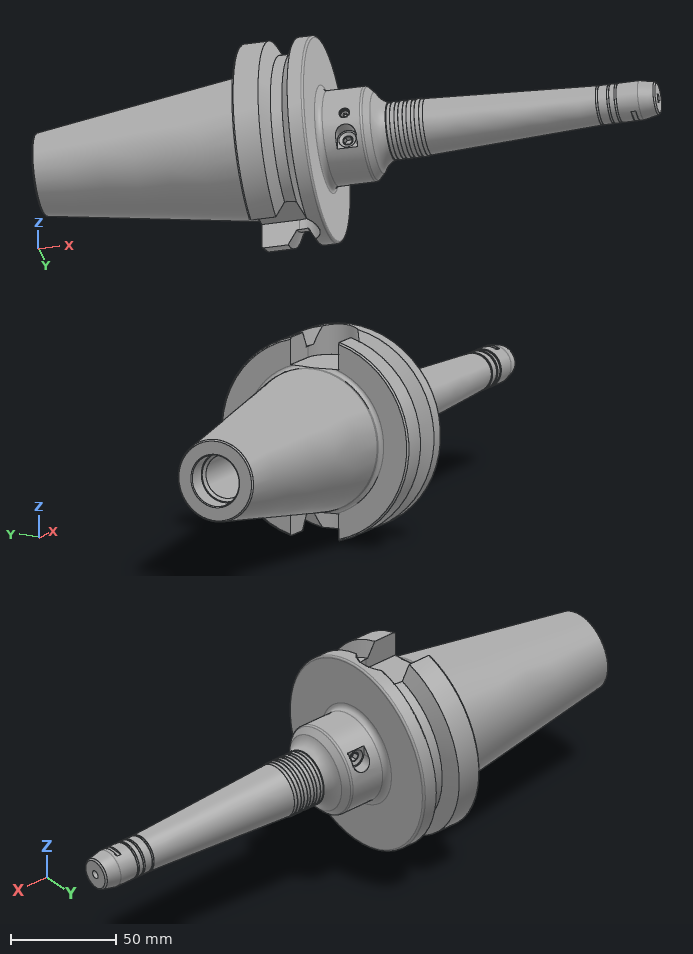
import cadquery as cq
import math


taper_length = 101.8
gauge_radius = 69.85 / 2
taper_ratio = 7 / 24
tail_radius = gauge_radius - taper_length * taper_ratio / 2
tail_chamfer = 0.7

flange_start = 3.0
flange_end = 38.0
flange_radius = 50.0
flange_chamfer = 0.8
flange_edge_fillet = 1.0
groove_floor_radius = 42.5
groove_floor_start = 20.3
groove_floor_end = 25.9
groove_half_angle = 30
root_fillet = 2.0

keyway_width = 25.7
keyway_floor = 35.1
keyway_end = 34.3
keyway_overshoot = 1.0

hub_radius = 23.0
hub_end = 60.0
hub_fillet = 3.0
shoulder_end = 63.5
shoulder_angle = 45
shoulder_radius = hub_radius - (shoulder_end - hub_end) * math.tan(math.radians(shoulder_angle))
blend_sag = 0.85
hub_edge_fillet = 1.6

neck_start = 69.7
neck_radius = 14.0
band_end = 87.8
neck_taper_radius = 13.6
nose_start = 171.5
nose_radius = 9.5
nose_taper_start = 192.0
part_end = 200.0
tip_radius = 8.0
tip_chamfer = 0.8

neck_ring_width = 1.8
neck_ring_depth = 0.35
neck_ring_count = 5
neck_ring_pitch = 4.0
first_neck_ring = 70.9
nose_ring_width = 1.0
nose_ring_depth = 0.25
nose_rings = (171.9, 177.4, 181.0)

bore_radius = 12.5
bore_chamfer = 0.5
bore_depth = 10.0
thread_radius = 12.0
thread_core_radius = 21.3 / 2
thread_depth = 60.0
drill_half_angle = 59
coolant_radius = 2.0

screw_station = 51.8
clamp_drop = 11.8
clamp_diameter = 10.0
clamp_floor = 16.0
clamp_seat_diameter = 8.4
clamp_seat_depth = 1.0
clamp_mouth_diameter = 5.0
clamp_hex = 4.62
clamp_hex_depth = 3.0
bleed_drop = 1.0
bleed_diameter = 5.0
bleed_depth = 1.0
bleed_seat_diameter = 4.1
bleed_seat_depth = 1.0
bleed_hex = 2.31
bleed_hex_depth = 1.5

notch_station = 188.8
notch_length = 2.3
notch_chord = 8.6

QUARTER_ARC_GAP = 1 - math.sqrt(0.5)


def make_body():
    """Solid of revolution from the tail of the taper to the tip of the nose."""
    wall = (flange_radius - groove_floor_radius) * math.tan(math.radians(groove_half_angle))
    flange_edge_mid = flange_edge_fillet * QUARTER_ARC_GAP
    root_mid = root_fillet * QUARTER_ARC_GAP
    hub_fillet_mid = hub_fillet * QUARTER_ARC_GAP

    half_turn = math.radians(shoulder_angle / 2)
    edge_tangent = hub_edge_fillet * math.tan(half_turn)
    edge_start = hub_end - edge_tangent
    edge_mid = (
        edge_start + hub_edge_fillet * math.sin(half_turn),
        hub_radius - hub_edge_fillet * (1 - math.cos(half_turn)),
    )
    edge_run = edge_tangent * math.cos(math.radians(shoulder_angle))
    edge_drop = edge_tangent * math.sin(math.radians(shoulder_angle))

    blend_mid = (
        (shoulder_end + neck_start) / 2 - blend_sag * math.sin(math.radians(shoulder_angle)),
        (shoulder_radius + neck_radius) / 2 - blend_sag * math.cos(math.radians(shoulder_angle)),
    )

    profile = (
        cq.Workplane("XY")
        .moveTo(-taper_length, 0)
        .lineTo(-taper_length, tail_radius - tail_chamfer)
        .lineTo(-taper_length + tail_chamfer, tail_radius)
        .lineTo(0, gauge_radius)
        .lineTo(flange_start - root_fillet, gauge_radius)
        .threePointArc(
            (flange_start - root_mid, gauge_radius + root_mid),
            (flange_start, gauge_radius + root_fillet),
        )
        .lineTo(flange_start, flange_radius - flange_chamfer)
        .lineTo(flange_start + flange_chamfer, flange_radius)
        .lineTo(groove_floor_start - wall, flange_radius)
        .lineTo(groove_floor_start, groove_floor_radius)
        .lineTo(groove_floor_end, groove_floor_radius)
        .lineTo(groove_floor_end + wall, flange_radius)
        .lineTo(flange_end - flange_edge_fillet, flange_radius)
        .threePointArc(
            (flange_end - flange_edge_mid, flange_radius - flange_edge_mid),
            (flange_end, flange_radius - flange_edge_fillet),
        )
        .lineTo(flange_end, hub_radius + hub_fillet)
        .threePointArc(
            (flange_end + hub_fillet_mid, hub_radius + hub_fillet_mid),
            (flange_end + hub_fillet, hub_radius),
        )
        .lineTo(edge_start, hub_radius)
        .threePointArc(edge_mid, (hub_end + edge_run, hub_radius - edge_drop))
        .lineTo(shoulder_end, shoulder_radius)
        .threePointArc(blend_mid, (neck_start, neck_radius))
        .lineTo(band_end, neck_radius)
        .lineTo(band_end, neck_taper_radius)
        .lineTo(nose_start, nose_radius)
        .lineTo(nose_taper_start, nose_radius)
        .lineTo(part_end - tip_chamfer, tip_radius)
        .lineTo(part_end, tip_radius - tip_chamfer)
        .lineTo(part_end, 0)
        .close()
    )
    return profile.revolve(360, (0, 0, 0), (1, 0, 0))


def make_ring(station, radius, width, depth):
    """Square-sided ring centred on a station, sunk into a shaft of the given radius."""
    overshoot = 1.0
    plane = cq.Workplane("YZ", origin=(station - width / 2, 0, 0))
    return plane.circle(radius + overshoot).circle(radius - depth).extrude(width)


def cut_rings(body):
    for i in range(neck_ring_count):
        station = first_neck_ring + i * neck_ring_pitch
        body = body.cut(make_ring(station, neck_radius, neck_ring_width, neck_ring_depth))
    for station in nose_rings:
        body = body.cut(make_ring(station, nose_radius, nose_ring_width, nose_ring_depth))
    return body


def make_bore():
    """Stepped drawbar bore with a drilled cone and a coolant hole through to the tip."""
    tail = -taper_length
    step = tail + bore_depth
    thread_start = step + thread_radius - thread_core_radius
    core_end = tail + thread_depth
    cone_length = (thread_core_radius - coolant_radius) / math.tan(math.radians(drill_half_angle))
    profile = (
        cq.Workplane("XY")
        .moveTo(tail, 0)
        .lineTo(tail, bore_radius + bore_chamfer)
        .lineTo(tail + bore_chamfer, bore_radius)
        .lineTo(step, bore_radius)
        .lineTo(step, thread_radius)
        .lineTo(thread_start, thread_core_radius)
        .lineTo(core_end, thread_core_radius)
        .lineTo(core_end + cone_length, coolant_radius)
        .lineTo(part_end, coolant_radius)
        .lineTo(part_end, 0)
        .close()
    )
    return profile.revolve(360, (0, 0, 0), (1, 0, 0))


def make_keyway():
    """Upper drive keyway, open towards the taper and rounded at its far end."""
    straight_end = keyway_end - keyway_width / 2
    height = flange_radius - keyway_floor + keyway_overshoot
    plane = cq.Workplane("XY", origin=(0, 0, keyway_floor))
    channel = plane.rect(2 * straight_end, keyway_width).extrude(height)
    rounded_end = plane.center(straight_end, 0).circle(keyway_width / 2).extrude(height)
    return channel.union(rounded_end)


def recess_plane(drop, floor):
    """Plane facing -Y through a screw seat, which lies the given drop below the hub axis."""
    return cq.Workplane("XZ", origin=(screw_station, -floor, -drop))


def make_clamp_screw():
    """U-shaped screw pocket open towards -Z, with a countersunk hexagon socket in its floor."""
    seat_floor = clamp_floor - clamp_seat_depth
    plane = recess_plane(clamp_drop, clamp_floor)
    pocket = plane.circle(clamp_diameter / 2).extrude(hub_radius)
    open_side = plane.center(0, -hub_radius / 2).rect(clamp_diameter, hub_radius).extrude(hub_radius)
    seat = (
        recess_plane(clamp_drop, seat_floor)
        .circle(clamp_mouth_diameter / 2)
        .workplane(offset=clamp_seat_depth)
        .circle(clamp_seat_diameter / 2)
        .loft()
    )
    socket = (
        recess_plane(clamp_drop, seat_floor - clamp_hex_depth)
        .polygon(6, clamp_hex)
        .extrude(clamp_hex_depth)
    )
    return pocket.union(open_side).union(seat).union(socket)


def make_bleed_screw():
    """Stepped round recess with a small hexagon socket."""
    floor = hub_radius - bleed_depth
    seat_floor = floor - bleed_seat_depth
    pocket = recess_plane(bleed_drop, floor).circle(bleed_diameter / 2).extrude(hub_radius)
    seat = recess_plane(bleed_drop, seat_floor).circle(bleed_seat_diameter / 2).extrude(bleed_seat_depth)
    socket = (
        recess_plane(bleed_drop, seat_floor - bleed_hex_depth)
        .polygon(6, bleed_hex)
        .extrude(bleed_hex_depth)
    )
    return pocket.union(seat).union(socket)


def make_notch():
    """Flat cut across the top of the nose, as deep as its chord requires."""
    floor = math.sqrt(nose_radius**2 - (notch_chord / 2) ** 2)
    plane = cq.Workplane("XY", origin=(notch_station, 0, floor))
    return plane.rect(notch_length, 2 * nose_radius).extrude(nose_radius)


result = cut_rings(make_body()).cut(make_bore())
for feature in (make_keyway(), make_clamp_screw(), make_notch()):
    result = result.cut(feature)
    result = result.cut(feature.rotate((0, 0, 0), (1, 0, 0), 180))
result = result.cut(make_bleed_screw())